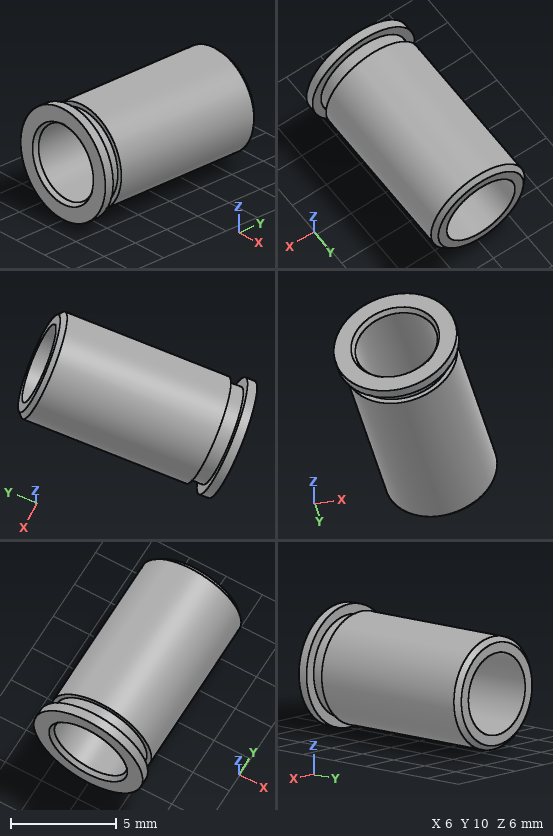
import cadquery as cq

length = 10.0
flange_diameter = 6.0
flange_thickness = 0.5
neck_diameter = 5.0
neck_width = 0.75
body_diameter = 5.5
body_chamfer = 0.25
bore_diameter = 4.0
bore_chamfer_width = 0.15
bore_chamfer_depth = 0.25

flange_radius = flange_diameter / 2
neck_radius = neck_diameter / 2
body_radius = body_diameter / 2
bore_radius = bore_diameter / 2
body_start = flange_thickness + neck_width

half_section = [
    (bore_radius + bore_chamfer_width, 0),
    (flange_radius, 0),
    (flange_radius, flange_thickness),
    (neck_radius, flange_thickness),
    (neck_radius, body_start),
    (body_radius, body_start),
    (body_radius, length - body_chamfer),
    (body_radius - body_chamfer, length),
    (bore_radius, length),
    (bore_radius, bore_chamfer_depth),
]

result = (
    cq.Workplane("XY")
    .polyline(half_section)
    .close()
    .revolve(360, (0, 0, 0), (0, 1, 0))
)